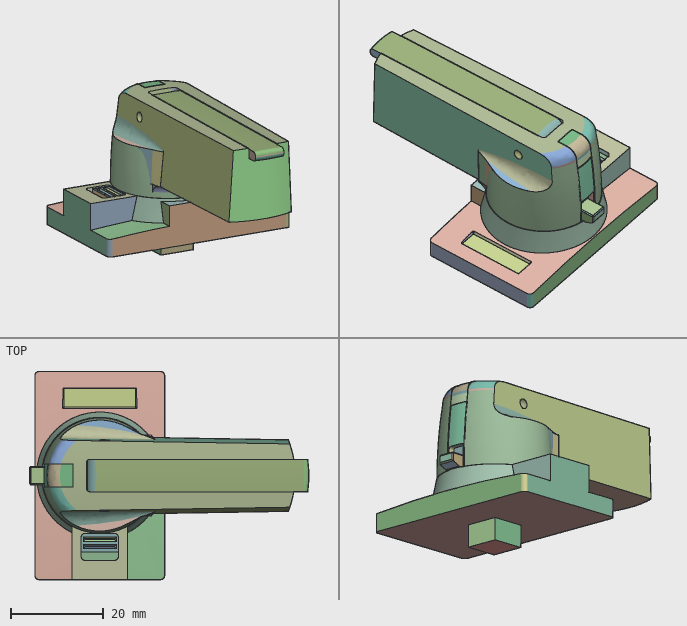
import cadquery as cq
import math


PLATE_X_MIN = -14.0
PLATE_X_MAX = 14.0
PLATE_WIDTH = 44.9
PLATE_EDGE_Z = 4.0
PLATE_CROWN_Z = 4.9
PLATE_CORNER_R = 1.0

SHAFT_SIDE = 8.0
SHAFT_LENGTH = 5.03

COLLAR_BOTTOM_Z = PLATE_EDGE_Z
COLLAR_TOP_Z = 10.0
COLLAR_BOTTOM_R = 13.8
COLLAR_TOP_R = 12.55

LATCH_BLOCK_HALF_WIDTH = 6.0
STOP_BLOCK_HALF_WIDTH = 7.5
STOP_BLOCK_TOP_Z = 9.4

LATCH_POCKET_WIDTH = 8.0
LATCH_POCKET_Y_MAX = -12.45
LATCH_POCKET_Y_MIN = -18.25
LATCH_POCKET_DEPTH = 1.2
LATCH_POCKET_CORNER_R = 0.8
LATCH_Y_MIN = -16.45
LATCH_DROP = 0.3
LATCH_GROOVE_LENGTH = 7.1
LATCH_GROOVE_WIDTH = 0.9
LATCH_GROOVE_DEPTH = 0.4
LATCH_GROOVE_WALL_ANGLE = 40.0
LATCH_GROOVE_Y = (-13.7, -15.3)

NAMEPLATE_FLOOR_LENGTH = 15.4
NAMEPLATE_FLOOR_WIDTH = 3.95
NAMEPLATE_Y = 16.75
NAMEPLATE_FLOOR_Z = PLATE_EDGE_Z
NAMEPLATE_WALL_ANGLE = 33.0

KNOB_BOTTOM_R = 12.43
KNOB_MIDDLE_R = 11.95
KNOB_MIDDLE_Z = 20.9
KNOB_SHOULDER_R = 11.2
KNOB_SHOULDER_Z = 27.0
KNOB_TOP_R = 10.9
KNOB_TOP_FILLET = 2.5

CREST_Z = 30.0
CREST_START_X = -8.0
CREST_FALL = 0.0095
CROWN_R = 68.0
BLANK_TOP_Z = 33.0

GRIP_BOTTOM_Z = 13.05
GRIP_HALF_WIDTH = 8.39
GRIP_SIDE_TAPER = 0.0165
GRIP_SIDE_DRAFT = 0.056
GRIP_END_X = 42.1
GRIP_END_CORNER_X = 40.6
GRIP_END_CORNER_Y = 7.72

SHELF_Z = 20.93
HOLLOW_START_X = -14.0
HOLLOW_END_X = 12.5
HOLLOW_RADII = ((HOLLOW_START_X, 2.75), (-3.0, 2.7), (5.0, 1.8), (HOLLOW_END_X, 0.15))

WEB_TOP = ((5.75, 10.5), (9.1, 8.85), (11.9, 7.8))
WEB_BOTTOM = ((8.4, 9.1), (8.65, 8.95), (11.4, 8.3))

UNDERCUT_BOTTOM_Z = 10.7
UNDERCUT_OUTER_R = 14.1
UNDERCUT_HALF_WIDTH = 8.75

SLOT_START_X = -2.9
SLOT_HALF_WIDTH = 3.5
SLOT_FLOOR_Z = 27.17
SLOT_CORNER_R = 0.8
TONGUE_DROP = 0.18
TONGUE_NOSE_X = -2.6
TONGUE_NOSE_END_X = 0.3
TONGUE_NOSE_HEIGHT = 1.6
TONGUE_END_X = 45.05
TONGUE_END_BOW = 0.25
TONGUE_END_FILLET = 0.95

STRIP_HALF_WIDTH = 2.45
STRIP_END_X = -5.8
STRIP_DEPTH = 0.1
CHANNEL_TOP_Z = 24.9
CHANNEL_DEPTH = 0.25
POINTER_POCKET_WIDTH = 4.2
POINTER_POCKET_TOP_Z = 15.4
POINTER_POCKET_X = -10.5
POINTER_POCKET_CORNER_R = 0.5
POINTER_WIDTH = 4.0
POINTER_TIP_X = -15.1
POINTER_TOP_Z = 12.85
POINTER_NOSE_Z = 10.9
POINTER_HEEL_X = -13.1
POINTER_ROOT_X = -10.0
POINTER_CHAMFER = 0.25

DIMPLE_X = 1.04
DIMPLE_Z = 25.9
DIMPLE_R = 1.08

QUARTER_ARC_SAG = 1 - math.sqrt(0.5)
JOIN_OVERLAP = 1.0
CUTTER_REACH = 200.0


def box(x_min, x_max, y_min, y_max, z_min, z_max):
    size = (x_max - x_min, y_max - y_min, z_max - z_min)
    return cq.Workplane("XY").box(*size, centered=False).translate((x_min, y_min, z_min))


def crest_z(x):
    """Height of the top surface above the centre line of the grip."""
    return CREST_Z - CREST_FALL * (x - CREST_START_X)


def grip_half_width(x, z):
    """Half width of the grip between its drafted side planes."""
    return GRIP_HALF_WIDTH - GRIP_SIDE_TAPER * x - GRIP_SIDE_DRAFT * (z - GRIP_BOTTOM_Z)


def make_base():
    plate_length = PLATE_X_MAX - PLATE_X_MIN
    half_width = PLATE_WIDTH / 2
    plate = (
        cq.Workplane("YZ", origin=(PLATE_X_MIN, 0, 0))
        .moveTo(-half_width, 0)
        .lineTo(half_width, 0)
        .lineTo(half_width, PLATE_EDGE_Z)
        .threePointArc((0, PLATE_CROWN_Z), (-half_width, PLATE_EDGE_Z))
        .close()
        .extrude(plate_length)
        .edges("|Z")
        .fillet(PLATE_CORNER_R)
    )
    half_shaft = SHAFT_SIDE / 2
    shaft = box(-half_shaft, half_shaft, -half_shaft, half_shaft, -SHAFT_LENGTH, PLATE_EDGE_Z)
    latch_block = box(
        -LATCH_BLOCK_HALF_WIDTH, LATCH_BLOCK_HALF_WIDTH, -half_width, 0, PLATE_EDGE_Z / 2, COLLAR_TOP_Z
    )
    stop_block = box(
        0, PLATE_X_MAX, -STOP_BLOCK_HALF_WIDTH, STOP_BLOCK_HALF_WIDTH, PLATE_EDGE_Z / 2, STOP_BLOCK_TOP_Z
    )
    collar = (
        cq.Workplane("XY", origin=(0, 0, COLLAR_BOTTOM_Z))
        .circle(COLLAR_BOTTOM_R)
        .workplane(offset=COLLAR_TOP_Z - COLLAR_BOTTOM_Z)
        .circle(COLLAR_TOP_R)
        .loft()
    )
    base = plate.union(shaft).union(latch_block).union(stop_block).union(collar)
    return base.cut(make_nameplate_recess())


def make_nameplate_recess():
    return (
        cq.Workplane("XY", origin=(0, NAMEPLATE_Y, NAMEPLATE_FLOOR_Z))
        .rect(NAMEPLATE_FLOOR_LENGTH, NAMEPLATE_FLOOR_WIDTH)
        .extrude(PLATE_CROWN_Z - NAMEPLATE_FLOOR_Z, taper=-NAMEPLATE_WALL_ANGLE)
    )


def make_latch_pocket():
    """Rounded pocket volume left open around the ribbed latch."""
    pocket_length = LATCH_POCKET_Y_MAX - LATCH_POCKET_Y_MIN
    pocket_y = (LATCH_POCKET_Y_MAX + LATCH_POCKET_Y_MIN) / 2
    pocket = (
        cq.Workplane("XY", origin=(0, pocket_y, COLLAR_TOP_Z - LATCH_POCKET_DEPTH))
        .rect(LATCH_POCKET_WIDTH, pocket_length)
        .extrude(LATCH_POCKET_DEPTH)
        .edges("|Z")
        .fillet(LATCH_POCKET_CORNER_R)
    )
    latch_top_z = COLLAR_TOP_Z - LATCH_DROP
    half_width = LATCH_POCKET_WIDTH / 2
    latch = box(-half_width, half_width, LATCH_Y_MIN, LATCH_POCKET_Y_MAX, 0, latch_top_z)
    grooves = (
        cq.Workplane("XY", origin=(0, 0, latch_top_z))
        .pushPoints([(0, y) for y in LATCH_GROOVE_Y])
        .rect(LATCH_GROOVE_LENGTH, LATCH_GROOVE_WIDTH)
        .extrude(-LATCH_GROOVE_DEPTH, taper=LATCH_GROOVE_WALL_ANGLE)
    )
    return pocket.cut(latch.cut(grooves))


def make_crown(drop=0.0):
    """Everything below the crowned, sloping top surface, lowered by drop."""
    start_x = 2 * PLATE_X_MIN
    crown = (
        cq.Workplane("YZ", origin=(start_x, 0, 0))
        .center(0, crest_z(start_x) - drop - CROWN_R)
        .circle(CROWN_R)
        .extrude(CUTTER_REACH)
    )
    tilt = math.degrees(math.atan(CREST_FALL))
    crest_start = (start_x, 0, crest_z(start_x) - drop)
    crest_side = (start_x, 1, crest_z(start_x) - drop)
    return crown.rotate(crest_start, crest_side, tilt)


def make_knob():
    """Knob of revolution with a rounded top edge under the crowned top."""
    blank = (
        cq.Workplane("XZ")
        .moveTo(0, COLLAR_TOP_Z)
        .lineTo(KNOB_BOTTOM_R, COLLAR_TOP_Z)
        .threePointArc((KNOB_MIDDLE_R, KNOB_MIDDLE_Z), (KNOB_SHOULDER_R, KNOB_SHOULDER_Z))
        .lineTo(KNOB_TOP_R, BLANK_TOP_Z)
        .lineTo(0, BLANK_TOP_Z)
        .close()
        .revolve(360, (0, 0), (0, 1))
    )
    return blank.intersect(make_crown()).faces(">Z").edges().fillet(KNOB_TOP_FILLET)


def make_grip_prism(start_x, end_x, bottom_z):
    """Bar between the two drafted, tapering side planes of the grip."""
    side_plane = cq.Plane(
        origin=(0, GRIP_HALF_WIDTH, GRIP_BOTTOM_Z),
        xDir=(1, -GRIP_SIDE_TAPER, 0),
        normal=(-GRIP_SIDE_TAPER, -1, -GRIP_SIDE_DRAFT),
    )
    inner_side = cq.Workplane(side_plane).rect(CUTTER_REACH, CUTTER_REACH).extrude(CUTTER_REACH)
    bar = box(start_x, end_x, -PLATE_WIDTH, PLATE_WIDTH, bottom_z, BLANK_TOP_Z)
    return bar.intersect(inner_side).intersect(inner_side.mirror("XZ"))


def both_sides(solid):
    return solid.union(solid.mirror("XZ"))


def make_hollow_fillet():
    """Concave fillet from the shelf up to the grip side, shrinking along +X."""
    inner_y = grip_half_width(0, SHELF_Z) / 2
    under_z = SHELF_Z - JOIN_OVERLAP
    wires = []
    for x, radius in HOLLOW_RADII:
        side_y = grip_half_width(x, SHELF_Z)
        upper = cq.Vector(x, grip_half_width(x, SHELF_Z + radius), SHELF_Z + radius)
        outer = cq.Vector(x, side_y + radius, SHELF_Z)
        sag = radius * QUARTER_ARC_SAG
        middle = cq.Vector(x, side_y + sag, SHELF_Z + sag)
        corners = [
            outer,
            cq.Vector(x, side_y + radius, under_z),
            cq.Vector(x, inner_y, under_z),
            cq.Vector(x, inner_y, SHELF_Z + radius),
            upper,
        ]
        edges = [cq.Edge.makeLine(a, b) for a, b in zip(corners, corners[1:])]
        edges.append(cq.Edge.makeThreePointArc(upper, middle, outer))
        wires.append(cq.Wire.assembleEdges(edges))
    return both_sides(cq.Workplane(cq.Solid.makeLoft(wires)))


def make_web():
    """Filler between the knob flank and the grip side."""
    bottom = [(0, 0), *WEB_BOTTOM]
    top = [(0, 0), *WEB_TOP]
    web = (
        cq.Workplane("XY", origin=(0, 0, GRIP_BOTTOM_Z))
        .polyline(bottom)
        .close()
        .workplane(offset=SHELF_Z - GRIP_BOTTOM_Z)
        .polyline(top)
        .close()
        .loft(ruled=True)
    )
    hollow_height = max(radius for _, radius in HOLLOW_RADII)
    above_shelf = (
        cq.Workplane("XY", origin=(0, 0, SHELF_Z)).polyline(top).close().extrude(hollow_height)
    )
    return both_sides(web.union(above_shelf))


def make_undercut_fillet():
    """Concave ring sector that carries the knob flank into the grip underside."""
    root_r = KNOB_BOTTOM_R - JOIN_OVERLAP
    rise = GRIP_BOTTOM_Z - UNDERCUT_BOTTOM_Z
    run = UNDERCUT_OUTER_R - KNOB_BOTTOM_R
    ring = (
        cq.Workplane("XZ")
        .moveTo(root_r, UNDERCUT_BOTTOM_Z)
        .lineTo(KNOB_BOTTOM_R, UNDERCUT_BOTTOM_Z)
        .threePointArc(
            (KNOB_BOTTOM_R + run * QUARTER_ARC_SAG, GRIP_BOTTOM_Z - rise * QUARTER_ARC_SAG),
            (UNDERCUT_OUTER_R, GRIP_BOTTOM_Z),
        )
        .lineTo(root_r, GRIP_BOTTOM_Z)
        .close()
        .revolve(360, (0, 0), (0, 1))
    )
    sector = box(0, 2 * UNDERCUT_OUTER_R, -UNDERCUT_HALF_WIDTH, UNDERCUT_HALF_WIDTH, 0, BLANK_TOP_Z)
    return ring.intersect(sector)


def make_grip():
    """Grip bar with its bowed end and the crowned top."""
    outline = (
        cq.Workplane("XY")
        .moveTo(0, -KNOB_BOTTOM_R)
        .lineTo(GRIP_END_CORNER_X, -KNOB_BOTTOM_R)
        .lineTo(GRIP_END_CORNER_X, -GRIP_END_CORNER_Y)
        .threePointArc((GRIP_END_X, 0), (GRIP_END_CORNER_X, GRIP_END_CORNER_Y))
        .lineTo(GRIP_END_CORNER_X, KNOB_BOTTOM_R)
        .lineTo(0, KNOB_BOTTOM_R)
        .close()
        .extrude(BLANK_TOP_Z)
    )
    bar = make_grip_prism(0, TONGUE_END_X, GRIP_BOTTOM_Z)
    return bar.intersect(outline).intersect(make_crown())


def make_slot():
    length = TONGUE_END_X - SLOT_START_X
    return (
        cq.Workplane("XY", origin=(SLOT_START_X + length / 2, 0, SLOT_FLOOR_Z))
        .rect(length, 2 * SLOT_HALF_WIDTH)
        .extrude(BLANK_TOP_Z - SLOT_FLOOR_Z)
        .edges("|Z and <X")
        .fillet(SLOT_CORNER_R)
    )


def make_tongue():
    """Tongue with a rounded nose at -X and a rounded, bowed tip at +X."""
    corner_x = TONGUE_END_X - TONGUE_END_BOW
    blank = (
        cq.Workplane("XY", origin=(0, 0, SLOT_FLOOR_Z))
        .moveTo(TONGUE_NOSE_X, -SLOT_HALF_WIDTH)
        .lineTo(corner_x, -SLOT_HALF_WIDTH)
        .threePointArc((TONGUE_END_X, 0), (corner_x, SLOT_HALF_WIDTH))
        .lineTo(TONGUE_NOSE_X, SLOT_HALF_WIDTH)
        .close()
        .extrude(BLANK_TOP_Z - SLOT_FLOOR_Z)
    )
    tongue = blank.intersect(make_crown(TONGUE_DROP))
    tongue = tongue.faces(">X").edges("not #XY").edges("not |Z").fillet(TONGUE_END_FILLET)
    nose_top_z = crest_z(TONGUE_NOSE_END_X) - TONGUE_DROP
    nose_length = TONGUE_NOSE_END_X - TONGUE_NOSE_X
    nose_bottom_z = nose_top_z - TONGUE_NOSE_HEIGHT
    nose_middle = (
        TONGUE_NOSE_X + nose_length * QUARTER_ARC_SAG,
        nose_top_z - TONGUE_NOSE_HEIGHT * QUARTER_ARC_SAG,
    )
    nose_cut = (
        cq.Workplane("XZ")
        .moveTo(TONGUE_NOSE_X, nose_bottom_z)
        .threePointArc(nose_middle, (TONGUE_NOSE_END_X, nose_top_z))
        .lineTo(TONGUE_NOSE_END_X, BLANK_TOP_Z)
        .lineTo(TONGUE_NOSE_X, BLANK_TOP_Z)
        .close()
        .extrude(SLOT_HALF_WIDTH, both=True)
    )
    return tongue.cut(nose_cut)


def make_strip_skin(depth, top_z):
    """Thin skin of the knob removed over the inlaid strip."""
    window = box(
        2 * PLATE_X_MIN, STRIP_END_X, -STRIP_HALF_WIDTH, STRIP_HALF_WIDTH, COLLAR_TOP_Z, top_z
    )
    return window.cut(make_knob().translate((depth, 0, -depth)))


def make_pointer_pocket():
    height = POINTER_POCKET_TOP_Z - COLLAR_TOP_Z
    return (
        cq.Workplane("YZ", origin=(POINTER_POCKET_X, 0, COLLAR_TOP_Z + height / 2))
        .rect(POINTER_POCKET_WIDTH, height)
        .extrude(2 * PLATE_X_MIN)
        .edges("|X and >Z")
        .fillet(POINTER_POCKET_CORNER_R)
    )


def make_pointer():
    profile = [
        (POINTER_ROOT_X, COLLAR_TOP_Z),
        (POINTER_HEEL_X, COLLAR_TOP_Z),
        (POINTER_TIP_X, POINTER_NOSE_Z),
        (POINTER_TIP_X, POINTER_TOP_Z),
        (POINTER_ROOT_X, POINTER_TOP_Z),
    ]
    pointer = cq.Workplane("XZ").polyline(profile).close().extrude(POINTER_WIDTH / 2, both=True)
    return pointer.faces("<X or >Z").edges().chamfer(POINTER_CHAMFER)


def make_dimples():
    y = grip_half_width(DIMPLE_X, DIMPLE_Z)
    return both_sides(cq.Workplane("XY").sphere(DIMPLE_R).translate((DIMPLE_X, y, DIMPLE_Z)))


def make_handle():
    reach = KNOB_BOTTOM_R + JOIN_OVERLAP
    below_shelf = box(-reach, reach, -reach, reach, 0, SHELF_Z)
    keep = make_grip_prism(2 * PLATE_X_MIN, 0, SHELF_Z / 2)
    keep = keep.union(below_shelf).union(make_hollow_fillet())
    handle = make_knob().union(make_web()).intersect(keep)
    handle = handle.union(make_grip()).union(make_undercut_fillet())
    handle = handle.cut(make_strip_skin(STRIP_DEPTH, BLANK_TOP_Z))
    handle = handle.cut(make_strip_skin(CHANNEL_DEPTH, CHANNEL_TOP_Z))
    handle = handle.cut(make_pointer_pocket()).union(make_pointer())
    handle = handle.cut(make_slot()).union(make_tongue())
    return handle.cut(make_dimples())


result = make_base().union(make_handle()).cut(make_latch_pocket())